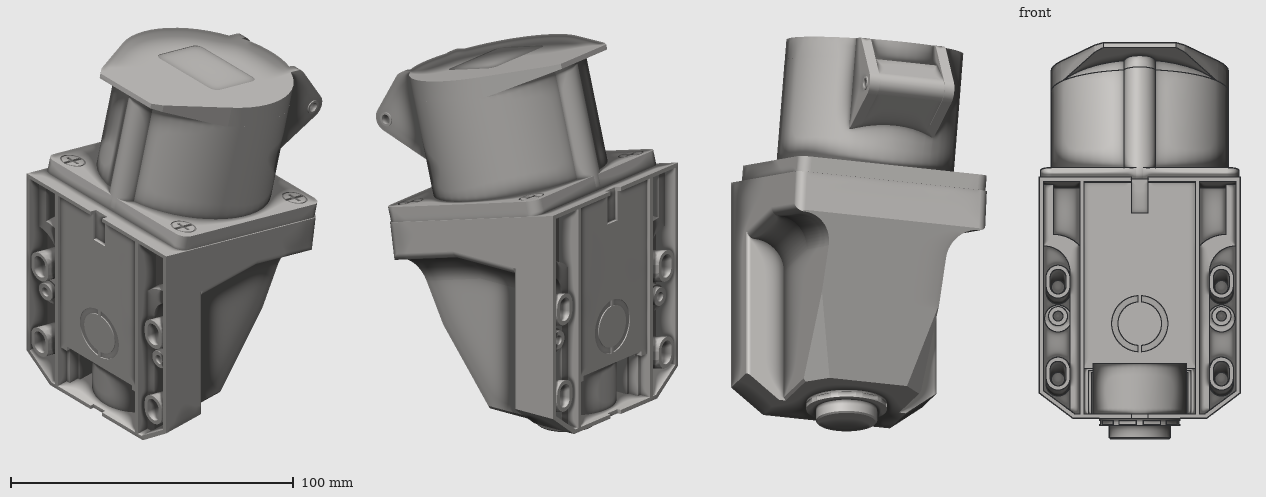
import cadquery as cq
import math

TILT = 14.5
SIN_TILT = math.sin(math.radians(TILT))
COS_TILT = math.cos(math.radians(TILT))
TAN_TILT = math.tan(math.radians(TILT))
ALONG_AXIS = cq.selectors.ParallelDirSelector(cq.Vector(0, SIN_TILT, COS_TILT))
LARGE = 280.1
OVERCUT = 1.4

HOUSING_WIDTH = 71.0
HALF_WIDTH = HOUSING_WIDTH / 2
WALL_HEIGHT = 85.3
HEAD_DEPTH = 75.2
HEAD_LOW_DEPTH = 73.3
HEAD_LOW_Z = 52.2
FLOOR_DEPTH = 46.6
HEAD_CORNER = 3.2
BASE_DEPTH = 17.8
BASE_EDGE = 1.4
CORNER_CUT_X = 11.9
CORNER_CUT_Z = 9.0
TRUNK_HALF_WIDTH = 21.9
COVE_BEND_Y = 45.2
COVE_TOP_Z = 61.8
SHOULDER_RADIUS = 2.8
COVE_RADIUS = HALF_WIDTH - TRUNK_HALF_WIDTH - SHOULDER_RADIUS
SOLE_CHAMFER_X = 0.7
SOLE_CHAMFER_Z = 1.1
FACET_SIDE_Y = 39.2
FACET_TOP_Z = 27.0
RIM_HEIGHT = 1.3

SKIN = 1.5
PANEL_HALF_WIDTH = 19.6
PANEL_DEPTH = 1.4
RIB_THICKNESS = 1.5
SIDE_POCKET_DEPTH = 4.6
DEEP_POCKET_DEPTH = 8.8
DEEP_POCKET_EDGE = 24.7
LOWER_ARC_TOP = 61.0
UPPER_DEEP_OUTER = 30.4
UPPER_ARC_TOP = 65.0
UPPER_ARC_RADIUS = 12.6
KEY_HALF_WIDTH = 3.0
KEY_DEPTH = 2.7
KEY_BOTTOM_Z = 72.5
RING_Z = 33.5
RING_OUTER = 19.9
RING_INNER = 15.4
RING_DEPTH = 0.4
RING_BRIDGE = 1.3
CAVITY_STEPS = (
    (19.6, 17.6, 4.3),
    (18.0, 17.0, 8.4),
    (17.1, 16.2, 19.6),
)
SLEEVE_Y = 20.7
SLEEVE_DIAMETER = 33.0
SLEEVE_TOP = 19.5

BOSS_X = 28.9
SLOT_BOSS_HEIGHTS = (15.8, 48.3)
SLOT_BOSS_WIDTH = 8.5
SLOT_BOSS_LENGTH = 11.6
SLOT_BOSS_DROP = 2.1
SLOT_WIDTH = 5.6
SLOT_LENGTH = 8.7
SLOT_FLOOR_WIDTH = 4.6
SLOT_FLOOR_LENGTH = 4.8
SLOT_DEPTH = 8.4
ROUND_BOSS_Z = 36.1
ROUND_BOSS_BASE = 9.5
ROUND_BOSS_DROP = 0.8
ROUND_BOSS_TOP = 6.7
ROUND_BOSS_STEP = 5.0
ROUND_BOSS_FRONT = 2.8
ROUND_BOSS_HOLE = 3.5

FLANGE_SIZE = 70.2
FLANGE_THICKNESS = 4.2
FLANGE_CORNER = 3.9
AXIS_U = 42.9
BARREL_DIAMETER = 62.8
BARREL_RADIUS = BARREL_DIAMETER / 2
FLANGE_TOP = RIM_HEIGHT + FLANGE_THICKNESS
BARREL_TOP = 42.2
SPLINE_DIAMETER = 11.5
SPLINE_PROUD = 0.1
SPLINE_U = AXIS_U - FLANGE_SIZE / 2 - SPLINE_PROUD + SPLINE_DIAMETER / 2
SPLINE_TOP = 46.2
SCREW_OFFSET = 28.2
SCREW_SEAT = 9.2
SCREW_HEAD = 8.0
SCREW_GROOVE = 0.4
CROSS_WIDTH = 1.4
CROSS_SHORT = 5.5
CROSS_DEPTH = 0.7

PIN_U = 85.5
PIN_W = 32.8
KNUCKLE_RADIUS = 4.8
LUG_SHOULDER_U = 77.0
WEB_KNUCKLE_RADIUS = 4.5
WEB_SHOULDER_U = 79.0
LUG_FOOT_U = 70.6
LUG_FOOT_W = 17.4
LUG_HALF_WIDTH = 15.7
CHEEK_THICKNESS = 3.6
EAR_SHOULDER_U = 75.5
EAR_ROUND = 4.2
PIN_BOSS_DIAMETER = 5.0
PIN_BOSS_HEIGHT = 0.4
PIN_HOLE = 3.5

LID_TOP = 49.6
LID_BRIM = 1.1
TONGUE_U = 2.1
TONGUE_HALF_WIDTH = 12.9
TONGUE_SHOULDER_U = 5.5
TONGUE_SHOULDER_X = 15.8
TONGUE_TIP = 1.8
UNDERCUT_U = 26.9
TANGENT_ANGLE = 28.0
LABEL_X = 30.4
LABEL_U = 21.9
LABEL_CORNER = 2.8
LABEL_DEPTH = 0.3

GLAND_Y = 22.4
COLLAR_DIAMETER = 28.6
COLLAR_HEIGHT = 2.5
CAP_DIAMETER = 21.7
GLAND_HEIGHT = 7.3
CAP_CHAMFER = 0.5
GRIP_COUNT = 10
GRIP_START = 90.0
GRIP_WIDTH = 6.5
GRIP_DEPTH = 0.4
GRIP_TOP = 0.7
GRIP_HEIGHT = 1.4


def tilted_plane(height):
    """Plane square to the socket axis, `height` above the sloping housing top."""
    origin = (0, height * SIN_TILT, WALL_HEIGHT + height * COS_TILT)
    return cq.Workplane(cq.Plane(origin=origin, xDir=(1, 0, 0), normal=(0, SIN_TILT, COS_TILT)))


def rounded_plate(bottom, thickness, size_x, size_u, corner):
    """Rectangular plate with rounded corners, square to the socket axis and centred on it."""
    plate = tilted_plane(bottom).center(0, AXIS_U).rect(size_x, size_u).extrude(thickness)
    return plate.edges(ALONG_AXIS).fillet(corner)


def tilted_side(x):
    """Plane for outlines in (U, W), at a given X and extruding towards +X."""
    return cq.Workplane(
        cq.Plane(origin=(x, 0, WALL_HEIGHT), xDir=(0, COS_TILT, -SIN_TILT), normal=(1, 0, 0))
    )


def back_plane(depth):
    """Plane for outlines in (X, Z), at Y = depth and extruding towards the back wall (-Y)."""
    return cq.Workplane("XZ", origin=(0, depth, 0))


def box(x0, x1, y0, y1, z0, z1):
    return cq.Workplane("XY").box(x1 - x0, y1 - y0, z1 - z0, centered=False).translate((x0, y0, z0))


def both_sides(shape):
    return shape.union(shape.mirror("YZ"))


def split_by_lean(shape, y, z, lean, keep_back):
    """Part of `shape` behind or in front of a plane through (y, z) leaning by `lean` degrees."""
    y_from = y if keep_back else -LARGE
    y_to = LARGE if keep_back else y
    half_space = box(-LARGE, LARGE, y_from, y_to, -LARGE, LARGE)
    return shape.intersect(half_space.rotate((0, y, z), (1, y, z), lean))


def housing_blank():
    outline = [
        (0, 0),
        (0, WALL_HEIGHT),
        (HEAD_DEPTH, WALL_HEIGHT - HEAD_DEPTH * TAN_TILT),
        (HEAD_LOW_DEPTH, HEAD_LOW_Z),
        (FLOOR_DEPTH, 0),
    ]
    blank = cq.Workplane("YZ").polyline(outline).close().extrude(HALF_WIDTH, both=True)
    head_middle_z = (WALL_HEIGHT - HEAD_DEPTH * TAN_TILT + HEAD_LOW_Z) / 2
    head_face = blank.faces(cq.selectors.NearestToPointSelector((0, HEAD_DEPTH, head_middle_z)))
    blank = head_face.edges("not |X").fillet(HEAD_CORNER)
    return blank.union(rounded_plate(0, RIM_HEIGHT, FLANGE_SIZE, FLANGE_SIZE, FLANGE_CORNER))


def shoulder_cutter():
    """Space beside the trunk on the +X side, coved under the head and turning with its slope."""
    top = COVE_TOP_Z
    middle_x = HALF_WIDTH - SHOULDER_RADIUS
    middle_z = top - SHOULDER_RADIUS
    diagonal = math.sqrt(0.5)
    outer = HALF_WIDTH + OVERCUT
    shape = (
        cq.Workplane("XZ", origin=(0, COVE_BEND_Y + LARGE / 2, 0))
        .moveTo(TRUNK_HALF_WIDTH, middle_z - COVE_RADIUS)
        .threePointArc(
            (middle_x - COVE_RADIUS * diagonal, middle_z - COVE_RADIUS * (1 - diagonal)), (middle_x, middle_z)
        )
        .threePointArc(
            (middle_x + SHOULDER_RADIUS * diagonal, top - SHOULDER_RADIUS * diagonal), (HALF_WIDTH, top)
        )
        .lineTo(outer, top)
        .lineTo(outer, -LARGE)
        .lineTo(TRUNK_HALF_WIDTH, -LARGE)
        .close()
        .extrude(LARGE)
    )
    bend = (0, COVE_BEND_Y, top)
    sloped = shape.rotate(bend, (1, COVE_BEND_Y, top), -TILT)
    level_part = split_by_lean(shape, COVE_BEND_Y, top, -TILT / 2, False)
    sloped_part = split_by_lean(sloped, COVE_BEND_Y, top, -TILT / 2, True)
    base_plate = box(-LARGE, LARGE, -LARGE, BASE_DEPTH, -LARGE, LARGE)
    cutter = level_part.union(sloped_part).cut(base_plate)
    lip = (
        cq.Workplane("XY", origin=(0, 0, -OVERCUT))
        .moveTo(HALF_WIDTH - BASE_EDGE, BASE_DEPTH)
        .radiusArc((HALF_WIDTH, BASE_DEPTH - BASE_EDGE), BASE_EDGE)
        .lineTo(HALF_WIDTH + OVERCUT, BASE_DEPTH - BASE_EDGE)
        .lineTo(HALF_WIDTH + OVERCUT, BASE_DEPTH)
        .close()
        .extrude(COVE_TOP_Z + OVERCUT)
    )
    return cutter.union(lip)


def corner_cutter():
    """Cuts off a lower corner of the base plate."""
    return (
        back_plane(BASE_DEPTH + OVERCUT)
        .polyline([(HALF_WIDTH, CORNER_CUT_Z), (HALF_WIDTH, 0), (HALF_WIDTH - CORNER_CUT_X, 0)])
        .close()
        .extrude(BASE_DEPTH + 2 * OVERCUT)
    )


def sole_cutter():
    """Bevels a bottom edge of the trunk behind the base plate."""
    x = TRUNK_HALF_WIDTH
    return (
        back_plane(FLOOR_DEPTH)
        .polyline([(x, 0), (x, SOLE_CHAMFER_Z), (x - SOLE_CHAMFER_X, 0)])
        .close()
        .extrude(FLOOR_DEPTH - BASE_DEPTH)
    )


def facet_cutter():
    """Corner of the belly that narrows the trunk towards the floor."""
    facet = FLOOR_DEPTH - FACET_SIDE_Y
    belly_slope = (HEAD_LOW_DEPTH - FLOOR_DEPTH) / HEAD_LOW_Z
    apex = cq.Vector(TRUNK_HALF_WIDTH, FLOOR_DEPTH + FACET_TOP_Z * belly_slope, FACET_TOP_Z)
    side = cq.Vector(TRUNK_HALF_WIDTH, FACET_SIDE_Y, 0)
    back = cq.Vector(TRUNK_HALF_WIDTH - facet, FLOOR_DEPTH, 0)
    plane = cq.Plane(origin=side, xDir=back - side, normal=(back - side).cross(apex - side))
    slab = cq.Workplane(plane).rect(LARGE, LARGE).extrude(LARGE)
    return slab.intersect(box(0, HALF_WIDTH, BASE_DEPTH, LARGE, -OVERCUT, FACET_TOP_Z))


def sloped_ceiling():
    """Everything above a plane one skin thickness below the sloping top."""
    return tilted_plane(-SKIN * COS_TILT).rect(LARGE, LARGE).extrude(LARGE)


def side_pocket():
    inner = PANEL_HALF_WIDTH + RIB_THICKNESS
    outer = HALF_WIDTH - SKIN
    depth = DEEP_POCKET_DEPTH
    floor_x = HALF_WIDTH - CORNER_CUT_X - SKIN / 2
    outline = [
        (inner, SKIN),
        (floor_x, SKIN),
        (outer, CORNER_CUT_Z + SKIN / 2),
        (outer, WALL_HEIGHT),
        (inner, WALL_HEIGHT),
    ]
    pocket = back_plane(SIDE_POCKET_DEPTH).polyline(outline).close().extrude(SIDE_POCKET_DEPTH + OVERCUT)
    full = back_plane(depth).polyline(outline).close().extrude(depth)

    arc_radius = outer - DEEP_POCKET_EDGE
    lower = box(DEEP_POCKET_EDGE, outer, 0, depth, 0, LOWER_ARC_TOP - arc_radius)
    dome = back_plane(depth).center(outer, LOWER_ARC_TOP - arc_radius).circle(arc_radius).extrude(depth)
    lower = lower.union(dome).intersect(full)

    upper = box(inner, UPPER_DEEP_OUTER, 0, depth, LOWER_ARC_TOP - arc_radius, WALL_HEIGHT)
    mound_z = UPPER_ARC_TOP - UPPER_ARC_RADIUS
    mound = back_plane(depth).center(UPPER_DEEP_OUTER, mound_z).circle(UPPER_ARC_RADIUS).extrude(depth)
    return pocket.union(lower).union(upper.cut(mound)).cut(sloped_ceiling())


def slot_boss(z):
    """Oblong screw boss that leans down towards the pocket floor."""
    return (
        back_plane(DEEP_POCKET_DEPTH)
        .center(BOSS_X, z - SLOT_BOSS_DROP)
        .slot2D(SLOT_BOSS_LENGTH, SLOT_BOSS_WIDTH, 90)
        .workplane(offset=DEEP_POCKET_DEPTH)
        .center(0, SLOT_BOSS_DROP)
        .slot2D(SLOT_BOSS_LENGTH, SLOT_BOSS_WIDTH, 90)
        .loft(combine=True)
    )


def slot_hole(z):
    """Oblong hole whose upper end slopes down to a small floor."""
    drop = (SLOT_LENGTH - SLOT_FLOOR_LENGTH) / 2
    return (
        back_plane(SLOT_DEPTH)
        .center(BOSS_X, z - drop)
        .slot2D(SLOT_FLOOR_LENGTH, SLOT_FLOOR_WIDTH, 90)
        .workplane(offset=SLOT_DEPTH)
        .center(0, drop)
        .slot2D(SLOT_LENGTH, SLOT_WIDTH, 90)
        .loft(combine=True)
    )


def round_boss():
    base = (
        back_plane(DEEP_POCKET_DEPTH).center(BOSS_X, ROUND_BOSS_Z - ROUND_BOSS_DROP)
        .circle(ROUND_BOSS_BASE / 2).extrude(DEEP_POCKET_DEPTH - ROUND_BOSS_STEP)
    )
    tip = (
        back_plane(ROUND_BOSS_STEP).center(BOSS_X, ROUND_BOSS_Z)
        .circle(ROUND_BOSS_TOP / 2).extrude(ROUND_BOSS_STEP - ROUND_BOSS_FRONT)
    )
    return base.union(tip)


def round_boss_hole():
    return back_plane(SLOT_DEPTH).center(BOSS_X, ROUND_BOSS_Z).circle(ROUND_BOSS_HOLE / 2).extrude(SLOT_DEPTH)


def centre_panel():
    panel = box(-PANEL_HALF_WIDTH, PANEL_HALF_WIDTH, -OVERCUT, PANEL_DEPTH, SKIN, WALL_HEIGHT)
    panel = panel.cut(sloped_ceiling())
    key_slot = box(-KEY_HALF_WIDTH, KEY_HALF_WIDTH, -OVERCUT, KEY_DEPTH, KEY_BOTTOM_Z, WALL_HEIGHT + OVERCUT)
    floor_notch = box(-KEY_HALF_WIDTH, KEY_HALF_WIDTH, -OVERCUT, PANEL_DEPTH, -OVERCUT, SKIN + OVERCUT)
    return panel.union(key_slot).union(floor_notch)


def knockout_ring():
    depth = PANEL_DEPTH + RING_DEPTH
    ring = back_plane(depth).center(0, RING_Z).circle(RING_OUTER / 2).circle(RING_INNER / 2).extrude(depth)
    reach = RING_OUTER / 2 + OVERCUT
    bridge = box(-RING_BRIDGE / 2, RING_BRIDGE / 2, 0, depth, RING_Z - reach, RING_Z + reach)
    return ring.cut(bridge)


def gland_cavity():
    """Stepped opening around the round sleeve above the gland."""
    radius = SLEEVE_DIAMETER / 2
    sleeve = cq.Workplane("XY", origin=(0, SLEEVE_Y, SKIN)).circle(radius).extrude(SLEEVE_TOP - SKIN)
    cavity = box(-radius, radius, 0, SLEEVE_Y, SKIN, SLEEVE_TOP)
    for half_width, top, depth in CAVITY_STEPS:
        cavity = cavity.union(box(-half_width, half_width, 0, depth, SKIN, top))
    return cavity.cut(sleeve)


def build_housing():
    body = housing_blank()
    body = body.cut(both_sides(shoulder_cutter()))
    body = body.cut(both_sides(corner_cutter()))
    body = body.cut(both_sides(facet_cutter()))
    body = body.cut(both_sides(sole_cutter()))
    body = body.cut(both_sides(side_pocket()))
    boss_inner = PANEL_HALF_WIDTH + RIB_THICKNESS
    boss_outer = HALF_WIDTH - SKIN / 2
    pocket_space = box(boss_inner, boss_outer, 0, BASE_DEPTH, SKIN, WALL_HEIGHT)
    bosses = round_boss()
    for z in SLOT_BOSS_HEIGHTS:
        bosses = bosses.union(slot_boss(z))
    body = body.union(both_sides(bosses.intersect(pocket_space)))
    holes = round_boss_hole()
    for z in SLOT_BOSS_HEIGHTS:
        holes = holes.union(slot_hole(z))
    body = body.cut(both_sides(holes))
    return body.cut(centre_panel()).cut(knockout_ring()).cut(gland_cavity())


def knuckle_tangent(u, w, radius, side):
    """Point where a line from (u, w) touches the hinge knuckle; `side` picks one of the two."""
    du = u - PIN_U
    dw = w - PIN_W
    angle = math.atan2(dw, du) + side * math.acos(radius / math.hypot(du, dw))
    return (PIN_U + radius * math.cos(angle), PIN_W + radius * math.sin(angle))


def hinge_outline(shoulder, top, radius, x, width):
    """Web from the socket to the hinge knuckle, topped by a shoulder at (shoulder, top)."""
    return (
        tilted_side(x)
        .moveTo(AXIS_U, LUG_FOOT_W)
        .lineTo(AXIS_U, top)
        .lineTo(shoulder, top)
        .lineTo(*knuckle_tangent(shoulder, top, radius, -1))
        .threePointArc((PIN_U + radius, PIN_W), knuckle_tangent(LUG_FOOT_U, LUG_FOOT_W, radius, 1))
        .lineTo(LUG_FOOT_U, LUG_FOOT_W)
        .close()
        .extrude(width)
    )


def hinge_lug():
    """Two cheeks joined by a slightly lower web."""
    cheek_x = LUG_HALF_WIDTH - CHEEK_THICKNESS
    cheek = hinge_outline(LUG_SHOULDER_U, BARREL_TOP, KNUCKLE_RADIUS, cheek_x, CHEEK_THICKNESS)
    web = hinge_outline(WEB_SHOULDER_U, BARREL_TOP, WEB_KNUCKLE_RADIUS, -cheek_x, 2 * cheek_x)
    return both_sides(cheek).union(web)


def pin_cylinder(diameter, half_length):
    return tilted_side(0).center(PIN_U, PIN_W).circle(diameter / 2).extrude(half_length, both=True)


def spline(bottom, top):
    """Round rib down the front of the barrel."""
    return tilted_plane(bottom).center(0, SPLINE_U).circle(SPLINE_DIAMETER / 2).extrude(top - bottom)


def screw_marks():
    """Ring groove and cross recess of one screw head, centred on the origin of the flange top."""
    def at(depth):
        return tilted_plane(FLANGE_TOP - depth)

    groove = at(SCREW_GROOVE).circle(SCREW_SEAT / 2).circle(SCREW_HEAD / 2).extrude(SCREW_GROOVE)
    long_bar = at(CROSS_DEPTH).rect(CROSS_WIDTH, SCREW_SEAT).extrude(CROSS_DEPTH)
    short_bar = at(CROSS_DEPTH).rect(CROSS_SHORT, CROSS_WIDTH).extrude(CROSS_DEPTH)
    return groove.union(long_bar).union(short_bar)


def build_socket():
    flange = rounded_plate(RIM_HEIGHT, FLANGE_THICKNESS, FLANGE_SIZE, FLANGE_SIZE, FLANGE_CORNER)
    barrel = tilted_plane(RIM_HEIGHT).center(0, AXIS_U).circle(BARREL_RADIUS).extrude(BARREL_TOP - RIM_HEIGHT)
    body = flange.union(barrel).union(spline(RIM_HEIGHT, BARREL_TOP)).union(hinge_lug())
    pin_reach = LUG_HALF_WIDTH + PIN_BOSS_HEIGHT
    body = body.union(pin_cylinder(PIN_BOSS_DIAMETER, pin_reach)).cut(pin_cylinder(PIN_HOLE, pin_reach))
    for x in (-SCREW_OFFSET, SCREW_OFFSET):
        for u in (AXIS_U - SCREW_OFFSET, AXIS_U + SCREW_OFFSET):
            body = body.cut(screw_marks().translate((x, u * COS_TILT, -u * SIN_TILT)))
    return body


def lid_plate():
    """Round lid drawn out into a tongue, with a sloping underside beyond the barrel."""
    tangent_x = BARREL_RADIUS * math.cos(math.radians(TANGENT_ANGLE))
    tangent_u = AXIS_U - BARREL_RADIUS * math.sin(math.radians(TANGENT_ANGLE))
    plate = (
        tilted_plane(BARREL_TOP)
        .moveTo(-tangent_x, tangent_u)
        .threePointArc((0, AXIS_U + BARREL_RADIUS), (tangent_x, tangent_u))
        .lineTo(TONGUE_SHOULDER_X, TONGUE_SHOULDER_U)
        .lineTo(TONGUE_HALF_WIDTH, TONGUE_U)
        .lineTo(-TONGUE_HALF_WIDTH, TONGUE_U)
        .lineTo(-TONGUE_SHOULDER_X, TONGUE_SHOULDER_U)
        .close()
        .extrude(LID_TOP - BARREL_TOP)
    )
    undercut = (
        tilted_side(0)
        .polyline([(UNDERCUT_U, BARREL_TOP), (TONGUE_U, LID_TOP - TONGUE_TIP), (TONGUE_U, BARREL_TOP)])
        .close()
        .extrude(HALF_WIDTH, both=True)
    )
    skirt = tilted_plane(BARREL_TOP).center(0, AXIS_U).circle(BARREL_RADIUS).extrude(LID_TOP - BARREL_TOP)
    cheek_x = LUG_HALF_WIDTH - CHEEK_THICKNESS
    brim = (
        tilted_plane(BARREL_TOP).center(0, AXIS_U + LID_BRIM).circle(BARREL_RADIUS)
        .extrude(LID_TOP - BARREL_TOP)
        .intersect(box(-cheek_x, cheek_x, AXIS_U, LARGE, 0, LARGE))
    )
    return plate.cut(undercut.cut(skirt)).union(brim)


def lid_ears():
    cheek_x = LUG_HALF_WIDTH - CHEEK_THICKNESS
    ear = hinge_outline(EAR_SHOULDER_U, LID_TOP, KNUCKLE_RADIUS, cheek_x, CHEEK_THICKNESS)
    corner = cq.selectors.NearestToPointSelector(
        (
            LUG_HALF_WIDTH - CHEEK_THICKNESS / 2,
            EAR_SHOULDER_U * COS_TILT + LID_TOP * SIN_TILT,
            WALL_HEIGHT - EAR_SHOULDER_U * SIN_TILT + LID_TOP * COS_TILT,
        )
    )
    return both_sides(ear.edges(corner).fillet(EAR_ROUND))


def build_lid(socket):
    label = rounded_plate(LID_TOP - LABEL_DEPTH, LABEL_DEPTH, LABEL_X, LABEL_U, LABEL_CORNER)
    lid = lid_plate().union(lid_ears()).union(spline(BARREL_TOP, SPLINE_TOP))
    return lid.cut(label).cut(socket).cut(pin_cylinder(PIN_BOSS_DIAMETER, LUG_HALF_WIDTH))


def build_gland():
    collar = cq.Workplane("XY", origin=(0, GLAND_Y, 0)).circle(COLLAR_DIAMETER / 2).extrude(-COLLAR_HEIGHT)
    cap = (
        cq.Workplane("XY", origin=(0, GLAND_Y, 0)).circle(CAP_DIAMETER / 2).extrude(-GLAND_HEIGHT)
        .faces("<Z").chamfer(CAP_CHAMFER)
    )
    grip = cq.Workplane("XY").box(GRIP_WIDTH, 2 * GRIP_DEPTH, GRIP_HEIGHT)
    grip = grip.translate((0, GLAND_Y - COLLAR_DIAMETER / 2, -GRIP_TOP - GRIP_HEIGHT / 2))
    for index in range(GRIP_COUNT):
        angle = index * 360 / GRIP_COUNT + GRIP_START
        collar = collar.cut(grip.rotate((0, GLAND_Y, 0), (0, GLAND_Y, 1), angle))
    return collar.union(cap)


housing = build_housing()
socket = build_socket()
lid = build_lid(socket)
gland = build_gland()

bodies = [housing, socket, lid, gland]
result = cq.Compound.makeCompound([body.solids().val() for body in bodies])